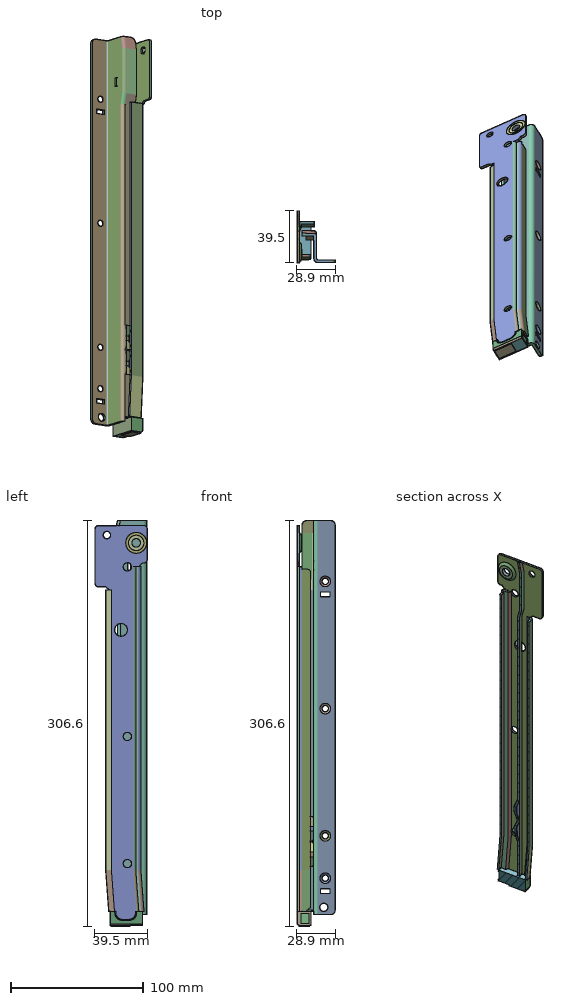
import cadquery as cq

TOTAL_LENGTH = 306.63
SHEET = 1.8

WEB_BOTTOM_Y = 10.4
SHELF_BEND = 1.7
LOWER_STEP_X = SHEET
LOWER_BEND = 2.0
LOWER_FLANGE_Y = 4.8
LOWER_FLANGE_X = 10.0
LOWER_FLANGE_CORNER = 2.0
SLANT_START_Y = 27.1
RAIL_TOP_Y = 31.5
SLANT_X = 2.4
UPPER_FLANGE_X = 13.0

RAIL_END_Z = 11.5
TAIL_START_Z = 42.5
TAIL_CORNER = 3.0
TAIL_SHIFT = 2.3
LIP_TOP_Z = 271.8
LOWER_FLANGE_TOP_Z = 269.8
UPPER_FLANGE_TOP_Z = 254.3
TONGUE_Z = 5.5
TONGUE_Y = 16.3
TONGUE_HALF_WIDTH = 7.5
TONGUE_RADIUS = 5.0

HEAD_HEIGHT = 39.5
HEAD_TOP_Z = 302.8
HEAD_LOW_Z = 274.6
HEAD_HIGH_Z = 256.5
HEAD_NECK_Y = (3.8, 6.3)
HEAD_CORNER = 2.5

WEB_HOLE_Y = 15.1
WEB_HOLE_DIAMETER = 6.2
WEB_HOLE_ZS = (47.6, 143.6, 271.6)
ACCESS_HOLE = (19.8, 224.0)
ACCESS_HOLE_DIAMETER = 9.6
CORNER_HOLE = (30.5, 295.6)
CORNER_HOLE_DIAMETER = 5.4
BOSS_CENTRE = (8.4, 289.7)
BOSS_HOLE_DIAMETER = 6.5
BOSS_BASE_RADIUS = 7.9
BOSS_TOP_RADIUS = 5.8
BOSS_HEIGHT = 1.6
BOSS_STEP = 0.2

CABINET_BOTTOM_Z = 9.0
WIDTH = 28.85
CABINET_SHEET = 2.2
CABINET_WEB_X = 12.6
CABINET_WEB_BACK_X = CABINET_WEB_X + CABINET_SHEET
FLANGE_Y = 0.4
BEND_OUTER = 3.2
BEND_Y = FLANGE_Y + BEND_OUTER
BEND_INNER = BEND_OUTER - CABINET_SHEET
TRACK_X = 3.6
TRACK_Y = 22.6
TRACK_BEND = 2.4
TRACK_INNER_BEND = 1.2
TRACK_RISE = 2.0
SEAT_TOP_Z = TOTAL_LENGTH - 9.7
SEAT_BOTTOM_Z = 262.0
SEAT_RAMP = 8.0
DETENT_X = 6.7
DETENT_DEPTH = 3.0
DETENT_ZS = (74.0, 54.5)
DETENT_FLAT = 3.5
DETENT_RAMP = 7.5
TRACK_CORNER = 4.0
TRACK_END_Z = RAIL_END_Z + 1.0
FLANGE_CORNER = 3.5

HOLE_X = 21.3
HOLE_DIAMETER = 4.6
SINK_DIAMETER = 8.0
SINK_ANGLE = 90
HOLE_PITCH = 96.0
UPPER_HOLE_Z = 260.6
LOWER_HOLE_OFFSET = 32.0
HOLE_ZS = [UPPER_HOLE_Z - i * HOLE_PITCH for i in range(3)]
HOLE_ZS.append(HOLE_ZS[-1] - LOWER_HOLE_OFFSET)
SLOT_OFFSET = 9.7
SLOT_LENGTH = 7.0
SLOT_HEIGHT = 3.4
END_HOLE = (20.2, 14.6)
END_HOLE_DIAMETER = 6.0
WINDOW_Y = (12.6, 14.6)
WINDOW_Z = (269.4, 276.0)

CAP_X = 10.6
CAP_Y = (3.6, 28.0)
CAP_BOTTOM_Z = 0.9
CAP_CHAMFER = 1.2
CAP_PANEL_X = (2.8, 9.0)
CAP_PANEL_Z = (2.4, 10.0)
CAP_PANEL_DEPTH = 0.4
TONGUE_CLEARANCE = 0.8
CAP_FOOT_X = (1.5, 9.5)
CAP_FOOT_Y = (13.0, 27.5)


def box(x_range, y_range, z_range):
    """Box between pairs of limits."""
    size = [b - a for a, b in (x_range, y_range, z_range)]
    return cq.Workplane("XY").box(*size, centered=False).translate((x_range[0], y_range[0], z_range[0]))


def side_plate(points, x_start, x_end):
    """Plate with a (Y, Z) outline between two X planes."""
    return cq.Workplane("YZ", origin=(x_start, 0, 0)).polyline(points).close().extrude(x_end - x_start)


def cross_drill(centre, diameter):
    """Cutter along X through the whole slide at a (Y, Z) centre."""
    return cq.Workplane("YZ").center(*centre).circle(diameter / 2).extrude(WIDTH, both=True)


def add_roller_boss(rail):
    """Cone on the inner face with two shallow steps opposite and a hole through it."""
    cone = (
        cq.Workplane("YZ", origin=(SHEET, 0, 0)).center(*BOSS_CENTRE).circle(BOSS_BASE_RADIUS)
        .workplane(offset=BOSS_HEIGHT).circle(BOSS_TOP_RADIUS).loft()
    )
    outer_face = cq.Workplane("YZ").center(*BOSS_CENTRE)
    rail = rail.union(cone)
    rail = rail.cut(outer_face.circle(BOSS_BASE_RADIUS).extrude(BOSS_STEP))
    rail = rail.cut(outer_face.circle(BOSS_TOP_RADIUS).extrude(2 * BOSS_STEP))
    return rail.cut(cross_drill(BOSS_CENTRE, BOSS_HOLE_DIAMETER))


def drawer_section(z):
    """Closed section of the drawer rail at a height Z."""
    shelf_y = WEB_BOTTOM_Y - SHELF_BEND
    bend_x = LOWER_STEP_X + LOWER_BEND
    slant_inner_y = RAIL_TOP_Y - SHEET
    return (
        cq.Workplane("XY", origin=(0, 0, z))
        .moveTo(0, SLANT_START_Y)
        .lineTo(0, WEB_BOTTOM_Y)
        .radiusArc((SHELF_BEND, shelf_y), -SHELF_BEND)
        .lineTo(LOWER_STEP_X, shelf_y)
        .lineTo(LOWER_STEP_X, LOWER_FLANGE_Y + LOWER_BEND)
        .radiusArc((bend_x, LOWER_FLANGE_Y), -LOWER_BEND)
        .lineTo(LOWER_FLANGE_X, LOWER_FLANGE_Y)
        .lineTo(LOWER_FLANGE_X, LOWER_FLANGE_Y + SHEET)
        .lineTo(LOWER_STEP_X + SHEET, LOWER_FLANGE_Y + SHEET)
        .lineTo(LOWER_STEP_X + SHEET, WEB_BOTTOM_Y)
        .lineTo(SHEET, WEB_BOTTOM_Y + SHELF_BEND)
        .lineTo(SHEET, SLANT_START_Y - SHEET / 2)
        .lineTo(SLANT_X + SHEET / 2, slant_inner_y)
        .lineTo(UPPER_FLANGE_X, slant_inner_y)
        .lineTo(UPPER_FLANGE_X, RAIL_TOP_Y)
        .lineTo(SLANT_X, RAIL_TOP_Y)
        .close()
    )


def make_tongue(margin):
    """Round-cornered lower end of the web, grown by a margin."""
    half_width = TONGUE_HALF_WIDTH + margin
    tongue = box(
        (0, SHEET),
        (TONGUE_Y - half_width, TONGUE_Y + half_width),
        (TONGUE_Z - margin, RAIL_END_Z + TONGUE_RADIUS),
    )
    return tongue.edges("|X and <Z").fillet(TONGUE_RADIUS + margin)


def make_straight_length():
    """Straight part of the drawer rail, its flanges ending at different heights."""
    straight = drawer_section(TAIL_START_Z).extrude(LIP_TOP_Z - TAIL_START_Z)
    straight = straight.cut(
        box((0, WIDTH), (SLANT_START_Y - SHEET, HEAD_HEIGHT), (UPPER_FLANGE_TOP_Z, TOTAL_LENGTH))
    )
    flange_x = LOWER_STEP_X + LOWER_BEND
    flange_reach = (flange_x, LOWER_FLANGE_X)
    flange_limit = box(flange_reach, (0, WEB_BOTTOM_Y), (TAIL_START_Z, LOWER_FLANGE_TOP_Z))
    flange_limit = flange_limit.edges("|Y and >X and >Z").fillet(LOWER_FLANGE_CORNER)
    flange_zone = box(flange_reach, (0, WEB_BOTTOM_Y), (TAIL_START_Z, LIP_TOP_Z))
    return straight.cut(flange_zone.cut(flange_limit))


def make_tail():
    """Lower part of the drawer rail, sheared toward -Y, without the lower flange's free corner."""
    lean = cq.Vector(0, -TAIL_SHIFT, RAIL_END_Z - TAIL_START_Z)
    tail = cq.Solid.extrudeLinear(drawer_section(TAIL_START_Z).wire().val(), [], lean)
    tail_corner = (
        cq.Workplane("XZ")
        .polyline([
            (LOWER_FLANGE_X - TAIL_CORNER, RAIL_END_Z),
            (LOWER_FLANGE_X, RAIL_END_Z),
            (LOWER_FLANGE_X, RAIL_END_Z + TAIL_CORNER),
        ])
        .close()
        .extrude(-WEB_BOTTOM_Y)
    )
    return cq.Workplane(tail).cut(tail_corner)


def make_head():
    """Plate widening the upper end of the web."""
    head = side_plate(
        [
            (0, HEAD_LOW_Z),
            (HEAD_NECK_Y[0], HEAD_LOW_Z),
            (HEAD_NECK_Y[1], LIP_TOP_Z),
            (WEB_BOTTOM_Y, LIP_TOP_Z),
            (WEB_BOTTOM_Y, UPPER_FLANGE_TOP_Z),
            (RAIL_TOP_Y - HEAD_CORNER, UPPER_FLANGE_TOP_Z),
            (RAIL_TOP_Y, HEAD_HIGH_Z),
            (HEAD_HEIGHT, HEAD_HIGH_Z),
            (HEAD_HEIGHT, HEAD_TOP_Z),
            (0, HEAD_TOP_Z),
        ],
        0,
        SHEET,
    )
    return head.edges("|X and (<Y or >Y)").fillet(HEAD_CORNER)


def make_drawer_rail():
    rail = make_straight_length().union(make_tail()).union(make_tongue(0)).union(make_head())
    rail = add_roller_boss(rail)
    for z in WEB_HOLE_ZS:
        rail = rail.cut(cross_drill((WEB_HOLE_Y, z), WEB_HOLE_DIAMETER))
    rail = rail.cut(cross_drill(ACCESS_HOLE, ACCESS_HOLE_DIAMETER))
    return rail.cut(cross_drill(CORNER_HOLE, CORNER_HOLE_DIAMETER))


def track_points(offset, detent_depth):
    """(Y, Z) points along the track from bottom to top, moved toward -Y by an offset."""
    points = [(TRACK_Y, CABINET_BOTTOM_Z)]
    if detent_depth:
        for z in sorted(DETENT_ZS):
            half = DETENT_FLAT / 2
            points += [
                (TRACK_Y, z - half - DETENT_RAMP),
                (TRACK_Y - detent_depth, z - half),
                (TRACK_Y - detent_depth, z + half),
                (TRACK_Y, z + half + DETENT_RAMP),
            ]
    points += [
        (TRACK_Y, SEAT_BOTTOM_Z - SEAT_RAMP),
        (TRACK_Y + TRACK_RISE, SEAT_BOTTOM_Z),
        (TRACK_Y + TRACK_RISE, SEAT_TOP_Z),
        (TRACK_Y, TOTAL_LENGTH),
    ]
    return [(y - offset, z) for y, z in points]


def track_strip(x_start, detent_depth):
    """Strip of the roller track from an X position to the back of the web."""
    outline = track_points(0, detent_depth) + track_points(CABINET_SHEET, detent_depth)[::-1]
    return side_plate(outline, x_start, CABINET_WEB_BACK_X)


def edges_around(x, y_range):
    """Selector for lengthwise edges near an X position, away from the two ends."""
    margin = 0.1
    low = (x - margin, y_range[0] - margin, CABINET_BOTTOM_Z + margin)
    high = (x + margin, y_range[1] + margin, TOTAL_LENGTH - margin)
    return cq.selectors.BoxSelector(low, high)


def make_channel():
    """Web of the cabinet rail with the roller track along its +Y edge."""
    web_middle_y = TRACK_Y / 2
    web_outline = track_points(0, 0) + [(BEND_Y, TOTAL_LENGTH), (BEND_Y, CABINET_BOTTOM_Z)]
    channel = side_plate(web_outline, CABINET_WEB_X, CABINET_WEB_BACK_X).union(track_strip(TRACK_X, 0))
    channel = channel.edges(
        edges_around(CABINET_WEB_BACK_X, (TRACK_Y, HEAD_HEIGHT))
    ).fillet(TRACK_BEND)
    channel = channel.edges(
        edges_around(CABINET_WEB_X, (web_middle_y, TRACK_Y + TRACK_RISE - CABINET_SHEET))
    ).fillet(TRACK_INNER_BEND)
    track_ends = box((TRACK_X, WIDTH), (0, HEAD_HEIGHT), (CABINET_BOTTOM_Z, TOTAL_LENGTH))
    channel = channel.intersect(track_ends.edges("|Y and <X and >Z").fillet(TRACK_CORNER))
    below_track = box((TRACK_X, CABINET_WEB_X), (web_middle_y, HEAD_HEIGHT), (CABINET_BOTTOM_Z, TRACK_END_Z))
    channel = channel.cut(below_track)
    detent_z = (TRACK_END_Z, SEAT_BOTTOM_Z - SEAT_RAMP)
    flat_strip = box((DETENT_X, CABINET_WEB_X - TRACK_INNER_BEND), (web_middle_y, TRACK_Y), detent_z)
    detent_zone = box((DETENT_X, CABINET_WEB_X), (0, TRACK_Y), detent_z)
    detents = track_strip(DETENT_X, DETENT_DEPTH).intersect(detent_zone)
    channel = channel.cut(flat_strip).union(detents)
    return channel.cut(box((CABINET_WEB_X, CABINET_WEB_BACK_X), WINDOW_Y, WINDOW_Z))


def make_mounting_flange():
    """Bend and flange of the cabinet rail with its countersunk holes and slots."""
    bend_x = CABINET_WEB_X + BEND_OUTER
    flange_top_y = FLANGE_Y + CABINET_SHEET
    flange = (
        cq.Workplane("XY", origin=(0, 0, CABINET_BOTTOM_Z))
        .moveTo(CABINET_WEB_X, BEND_Y)
        .radiusArc((bend_x, FLANGE_Y), -BEND_OUTER)
        .lineTo(WIDTH, FLANGE_Y)
        .lineTo(WIDTH, flange_top_y)
        .lineTo(bend_x, flange_top_y)
        .radiusArc((CABINET_WEB_BACK_X, BEND_Y), BEND_INNER)
        .close()
        .extrude(TOTAL_LENGTH - CABINET_BOTTOM_Z)
        .edges("|Y and >X").fillet(FLANGE_CORNER)
    )
    mounting_face = cq.Workplane("XZ", origin=(0, FLANGE_Y, 0))
    flange = flange.cut(
        mounting_face.pushPoints([END_HOLE]).circle(END_HOLE_DIAMETER / 2).extrude(-CABINET_SHEET)
    )
    slots = [(HOLE_X, z - SLOT_OFFSET) for z in (HOLE_ZS[0], HOLE_ZS[-1])]
    flange = flange.cut(
        mounting_face.pushPoints(slots).rect(SLOT_LENGTH, SLOT_HEIGHT).extrude(-CABINET_SHEET)
    )
    return (
        flange.copyWorkplane(mounting_face)
        .pushPoints([(HOLE_X, z) for z in HOLE_ZS])
        .cskHole(HOLE_DIAMETER, SINK_DIAMETER, SINK_ANGLE)
    )


def make_end_cap(rail):
    """Block closing the lower end of the drawer rail, recessed for the rail's tongue."""
    cap = box((0, CAP_X), CAP_Y, (CAP_BOTTOM_Z, RAIL_END_Z)).edges("<X and <Z").chamfer(CAP_CHAMFER)
    panel = box(CAP_PANEL_X, (CAP_Y[0], CAP_Y[0] + CAP_PANEL_DEPTH), CAP_PANEL_Z)
    cap = cap.cut(panel).cut(make_tongue(TONGUE_CLEARANCE))
    foot = box(CAP_FOOT_X, CAP_FOOT_Y, (0, CAP_BOTTOM_Z))
    return cap.union(foot).cut(rail)


drawer_rail = make_drawer_rail()
cabinet_rail = make_channel().union(make_mounting_flange())
end_cap = make_end_cap(drawer_rail)

result = cq.Compound.makeCompound([drawer_rail.val(), cabinet_rail.val(), end_cap.val()])